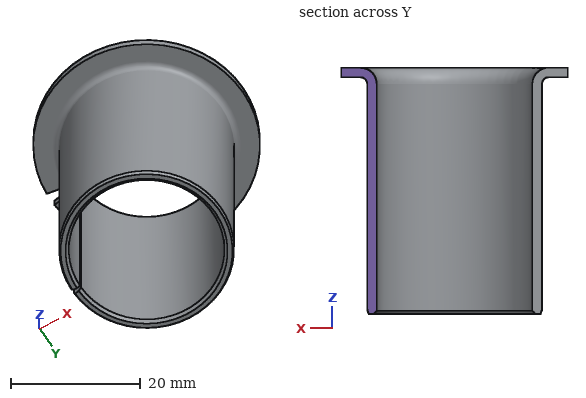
import cadquery as cq
import math

length = 38.0
flange_diameter = 35.0
bore_diameter = 24.0
sleeve_diameter = 27.0
collar_fillet = 1.0
lead_height = 0.7
lead_angle = 20.0
bore_chamfer = 0.5
slit_bore_width = 0.35
slit_angle = 20.0

flange_radius = flange_diameter / 2
bore_radius = bore_diameter / 2
sleeve_radius = sleeve_diameter / 2
wall = sleeve_radius - bore_radius
mouth_radius = collar_fillet + wall
lead_radius = sleeve_radius - lead_height * math.tan(math.radians(lead_angle))


def flanged_sleeve():
    """Revolve the bent-sheet wall section about the Z axis."""
    bend_radius = bore_radius + mouth_radius
    bend_height = length - mouth_radius
    diagonal = math.sqrt(0.5)
    return (
        cq.Workplane("XZ")
        .moveTo(bore_radius + bore_chamfer, 0)
        .lineTo(lead_radius, 0)
        .lineTo(sleeve_radius, lead_height)
        .lineTo(sleeve_radius, bend_height)
        .threePointArc(
            (bend_radius - collar_fillet * diagonal, bend_height + collar_fillet * diagonal),
            (bend_radius, length - wall),
        )
        .lineTo(flange_radius, length - wall)
        .lineTo(flange_radius, length)
        .lineTo(bend_radius, length)
        .threePointArc(
            (bend_radius - mouth_radius * diagonal, bend_height + mouth_radius * diagonal),
            (bore_radius, bend_height),
        )
        .lineTo(bore_radius, bore_chamfer)
        .close()
        .revolve(360, (0, 0, 0), (0, 1, 0))
        .rotate((0, 0, 0), (0, 0, 1), 180)
    )


def slit_cutter():
    """Full-height wedge on the -X side, widening outward from the bore."""
    half_angle_slope = math.tan(math.radians(slit_angle / 2))
    tip_radius = bore_radius - slit_bore_width / 2 / half_angle_slope
    half_width = (flange_diameter - tip_radius) * half_angle_slope
    return (
        cq.Workplane("XY")
        .polyline([(-tip_radius, 0), (-flange_diameter, half_width), (-flange_diameter, -half_width)])
        .close()
        .extrude(length)
    )


result = flanged_sleeve().cut(slit_cutter())